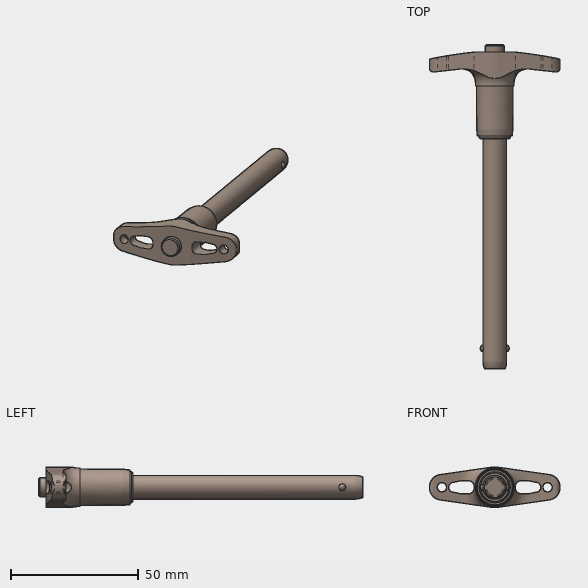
import cadquery as cq
import math

total_length = 127.4

shank_radius = 4.7
tip_radius = 4.1
tip_length = 2.9
tip_bulge_radius = 4.6
ball_radius = 1.4
ball_offset = 4.3
ball_y = 8.0

seat_y = 90.3
seat_edge_radius = 5.6
seat_radius = 6.1
seat_edge_height = 0.5
sleeve_y = 91.6
sleeve_end_radius = 6.9
sleeve_taper_y = 93.9
sleeve_front_radius = 7.1
sleeve_rear_radius = 7.3
collar_y = 111.1
collar_radius = 7.6
flare_y = 112.2

handle_top_y = 124.6
handle_half_length = 25.7
handle_half_height = 7.96
center_flat_half_width = 1.0
end_round_radius = 5.1
end_top_y = 121.8
end_bottom_y = 116.4
top_corner_radius = 1.0
bottom_corner_radius = 1.7
top_flat_half_length = 7.6
shoulder_x = 16.5
shoulder_y = 123.4
flare_radius = 5.6
underside_y = flare_y + flare_radius
flare_outer_radius = collar_radius + flare_radius

cord_hole_radius = 1.8
cord_hole_x = 20.8
slot_inner_x = 8.2
slot_taper_x = 13.5
slot_half_height = 2.48
slot_corner_radius = 2.0
slot_end_x = 18.1
slot_end_radius = 1.9

button_radius = 3.8
button_chamfer = 0.5


def make_body():
    """Shank, sleeve and flared neck as one turned profile."""
    tip_bulge_y = tip_length / 2
    flare_mid_offset = flare_radius * math.sqrt(0.5)
    return (
        cq.Workplane("XY")
        .lineTo(tip_radius, 0)
        .threePointArc((tip_bulge_radius, tip_bulge_y), (shank_radius, tip_length))
        .lineTo(shank_radius, seat_y)
        .lineTo(seat_edge_radius, seat_y)
        .lineTo(seat_radius, seat_y + seat_edge_height)
        .lineTo(seat_radius, sleeve_y)
        .lineTo(sleeve_end_radius, sleeve_y)
        .lineTo(sleeve_front_radius, sleeve_taper_y)
        .lineTo(sleeve_rear_radius, collar_y)
        .lineTo(collar_radius, collar_y)
        .lineTo(collar_radius, flare_y)
        .threePointArc(
            (flare_outer_radius - flare_mid_offset, flare_y + flare_mid_offset),
            (flare_outer_radius, underside_y),
        )
        .lineTo(0, underside_y)
        .close()
        .revolve(360, (0, 0, 0), (0, 1, 0))
    )


def extrude_along_pin(sketch):
    """Extrude an XZ outline in +Y over the whole pin length."""
    return sketch.extrude(-total_length)


def make_handle_outline():
    """Prism of the handle seen along the pin: a tapered bar with round ends."""
    end_x = handle_half_length - end_round_radius
    run = end_x - center_flat_half_width
    center_distance = math.hypot(run, handle_half_height)
    taper = math.atan2(handle_half_height, run) - math.asin(end_round_radius / center_distance)
    tangent_x = end_x + end_round_radius * math.sin(taper)
    tangent_z = end_round_radius * math.cos(taper)
    return extrude_along_pin(
        cq.Workplane("XZ")
        .moveTo(-center_flat_half_width, handle_half_height)
        .lineTo(center_flat_half_width, handle_half_height)
        .lineTo(tangent_x, tangent_z)
        .threePointArc((handle_half_length, 0), (tangent_x, -tangent_z))
        .lineTo(center_flat_half_width, -handle_half_height)
        .lineTo(-center_flat_half_width, -handle_half_height)
        .lineTo(-tangent_x, -tangent_z)
        .threePointArc((-handle_half_length, 0), (-tangent_x, tangent_z))
        .close()
    )


def make_handle_bar():
    """Arched bar profile in XY, with rounded outer corners."""
    return (
        cq.Workplane("XY")
        .moveTo(-top_flat_half_length, handle_top_y)
        .lineTo(top_flat_half_length, handle_top_y)
        .threePointArc((shoulder_x, shoulder_y), (handle_half_length, end_top_y))
        .lineTo(handle_half_length, end_bottom_y)
        .lineTo(flare_outer_radius, underside_y)
        .lineTo(-flare_outer_radius, underside_y)
        .lineTo(-handle_half_length, end_bottom_y)
        .lineTo(-handle_half_length, end_top_y)
        .threePointArc((-shoulder_x, shoulder_y), (-top_flat_half_length, handle_top_y))
        .close()
        .extrude(handle_half_height, both=True)
        .faces("<X or >X")
        .edges("|Z and >Y")
        .fillet(top_corner_radius)
        .faces("<X or >X")
        .edges("|Z and <Y")
        .fillet(bottom_corner_radius)
    )


def make_arm_openings(side):
    """Cord hole and tapered finger slot through one arm."""
    hole = extrude_along_pin(
        cq.Workplane("XZ").center(side * cord_hole_x, 0).circle(cord_hole_radius)
    )
    end_x = slot_end_x - slot_end_radius
    slot = extrude_along_pin(
        cq.Workplane("XZ")
        .moveTo(side * slot_inner_x, -slot_half_height)
        .lineTo(side * slot_taper_x, -slot_half_height)
        .lineTo(side * end_x, -slot_end_radius)
        .threePointArc((side * slot_end_x, 0), (side * end_x, slot_end_radius))
        .lineTo(side * slot_taper_x, slot_half_height)
        .lineTo(side * slot_inner_x, slot_half_height)
        .close()
    )
    inner_edges = "<X" if side > 0 else ">X"
    slot = slot.edges(f"|Y and ({inner_edges})").fillet(slot_corner_radius)
    return hole.union(slot)


def make_button():
    return (
        cq.Workplane("XZ", origin=(0, underside_y, 0))
        .circle(button_radius)
        .extrude(underside_y - total_length)
        .faces(">Y")
        .chamfer(button_chamfer)
    )


outline = make_handle_outline()
result = make_body().intersect(outline).union(make_handle_bar().intersect(outline))

for side in (-1, 1):
    result = result.cut(make_arm_openings(side))
    ball = cq.Workplane("XY").sphere(ball_radius).translate((side * ball_offset, ball_y, 0))
    result = result.union(ball)

result = result.union(make_button())